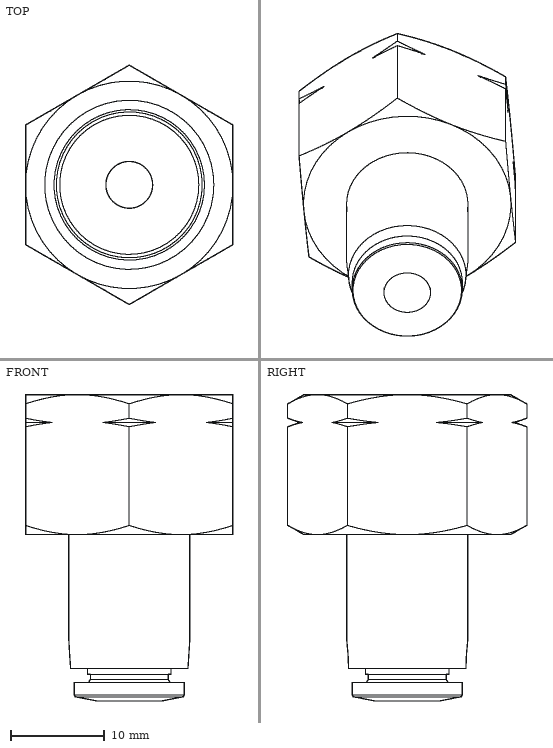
import cadquery as cq
import math

total_height = 32.8
across_flats = 22.2
corner_radius = across_flats / math.sqrt(3)

head_height = 15.0
head_bottom = total_height - head_height
corner_chamfer_angle = math.radians(30)
corner_drop = (corner_radius - across_flats / 2) * math.tan(corner_chamfer_angle)

notch_drop = 3.0
notch_depth = 1.28
notch_half_height = 0.45

shank_diameter = 13.0
shank_end_diameter = 12.6
taper_top = 6.55
shank_bottom = 3.48

upper_neck_diameter = 9.0
lower_neck_diameter = 8.35
neck_step_height = 2.85
flare_top = 2.33
flare_diameter = 8.72
flange_top = 2.0

flange_diameter = 11.8
flange_edge_height = 0.65
underside_cone_height = 0.45
underside_diameter = 11.6
end_face_diameter = 7.02

bore_diameter = 16.1
mouth_diameter = 18.1
mouth_angle = math.radians(30)
mouth_depth = (mouth_diameter - bore_diameter) / 2 / math.tan(mouth_angle)
ledge_diameter = 15.6
floor_diameter = 14.9
ledge_height = 20.35
floor_height = 19.68
through_diameter = 5.0


def revolve_profile(sketch):
    """Close a profile drawn as (radius, height) and revolve it about Z."""
    return sketch.close().revolve(360, (0, 0, 0), (0, 1, 0))


def hexagonal_head():
    prism = (
        cq.Workplane("XY")
        .workplane(offset=head_bottom)
        .polygon(6, 2 * corner_radius)
        .extrude(head_height)
        .rotate((0, 0, 0), (0, 0, 1), 30)
    )
    envelope = revolve_profile(
        cq.Workplane("XZ")
        .moveTo(0, head_bottom)
        .lineTo(across_flats / 2, head_bottom)
        .lineTo(corner_radius, head_bottom + corner_drop)
        .lineTo(corner_radius, total_height - corner_drop)
        .lineTo(across_flats / 2, total_height)
        .lineTo(0, total_height)
    )
    return prism.intersect(envelope)


def corner_notch():
    notch_height = total_height - notch_drop
    reach = 2 * notch_depth
    half_opening = 2 * notch_half_height
    apex_radius = corner_radius - notch_depth
    return revolve_profile(
        cq.Workplane("XZ")
        .moveTo(apex_radius, notch_height)
        .lineTo(apex_radius + reach, notch_height + half_opening)
        .lineTo(apex_radius + reach, notch_height - half_opening)
    )


def shank_and_flange():
    return revolve_profile(
        cq.Workplane("XZ")
        .moveTo(0, head_bottom)
        .lineTo(shank_diameter / 2, head_bottom)
        .lineTo(shank_diameter / 2, taper_top)
        .lineTo(shank_end_diameter / 2, shank_bottom)
        .lineTo(upper_neck_diameter / 2, shank_bottom)
        .lineTo(upper_neck_diameter / 2, neck_step_height)
        .lineTo(lower_neck_diameter / 2, neck_step_height)
        .lineTo(lower_neck_diameter / 2, flare_top)
        .lineTo(flare_diameter / 2, flange_top)
        .lineTo(flange_diameter / 2, flange_top)
        .lineTo(flange_diameter / 2, flange_edge_height)
        .lineTo(underside_diameter / 2, underside_cone_height)
        .lineTo(end_face_diameter / 2, 0)
        .lineTo(0, 0)
    )


def bore():
    return revolve_profile(
        cq.Workplane("XZ")
        .moveTo(0, total_height)
        .lineTo(mouth_diameter / 2, total_height)
        .lineTo(bore_diameter / 2, total_height - mouth_depth)
        .lineTo(bore_diameter / 2, ledge_height)
        .lineTo(ledge_diameter / 2, ledge_height)
        .lineTo(floor_diameter / 2, floor_height)
        .lineTo(through_diameter / 2, floor_height)
        .lineTo(through_diameter / 2, 0)
        .lineTo(0, 0)
    )


result = hexagonal_head().cut(corner_notch()).union(shank_and_flange()).cut(bore())